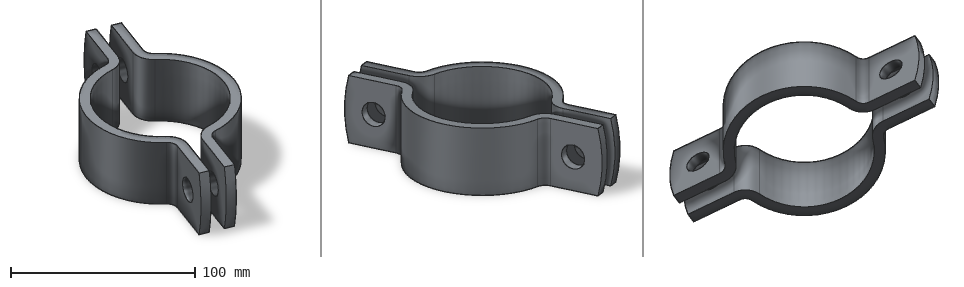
import cadquery as cq
import math

length = 157.5
width = 40.0
outer_radius = 44.0
thickness = 6.0
gap = 9.0
bend_radius = 6.0
hole_diameter = 14.0
hole_offset = 61.0

inner_radius = outer_radius - thickness
ear_inner_y = gap / 2
ear_outer_y = ear_inner_y + thickness
bend_y = ear_outer_y + bend_radius
bend_distance = outer_radius + bend_radius
bend_x = math.sqrt(bend_distance**2 - bend_y**2)
bend_angle = math.atan2(bend_y, bend_x)


def band_point(radius, side):
    """Point where a band surface meets the bend; side is +1 or -1 in X."""
    return (side * radius * math.cos(bend_angle), radius * math.sin(bend_angle))


def bend_middle(radius, side):
    """Middle of a bend arc, between the band and the ear."""
    angle = (math.pi + bend_angle + 3 * math.pi / 2) / 2
    return (side * (bend_x + radius * math.cos(angle)), bend_y + radius * math.sin(angle))


def strap_profile():
    """Outline of the +Y strap across its width."""
    tip = length / 2
    outer_bend = bend_radius + thickness
    return (
        cq.Workplane("XY")
        .moveTo(-tip, ear_inner_y)
        .lineTo(-bend_x, ear_inner_y)
        .threePointArc(bend_middle(outer_bend, -1), band_point(inner_radius, -1))
        .threePointArc((0, inner_radius), band_point(inner_radius, 1))
        .threePointArc(bend_middle(outer_bend, 1), (bend_x, ear_inner_y))
        .lineTo(tip, ear_inner_y)
        .lineTo(tip, ear_outer_y)
        .lineTo(bend_x, ear_outer_y)
        .threePointArc(bend_middle(bend_radius, 1), band_point(outer_radius, 1))
        .threePointArc((0, outer_radius), band_point(outer_radius, -1))
        .threePointArc(bend_middle(bend_radius, -1), (-bend_x, ear_outer_y))
        .lineTo(-tip, ear_outer_y)
        .close()
    )


def make_strap(turn):
    """One clamp half, turned about Z by the given angle in degrees."""
    strap = strap_profile().extrude(width / 2, both=True)

    end_rounding = cq.Workplane("XZ").circle(length / 2).extrude(outer_radius * 2, both=True)
    strap = strap.intersect(end_rounding)

    bolt_holes = (
        cq.Workplane("XZ")
        .pushPoints([(-hole_offset, 0), (hole_offset, 0)])
        .circle(hole_diameter / 2)
        .extrude(outer_radius, both=True)
    )
    return strap.cut(bolt_holes).rotate((0, 0, 0), (0, 0, 1), turn)


straps = [make_strap(turn).val() for turn in (0, 180)]

result = cq.Compound.makeCompound([*straps])